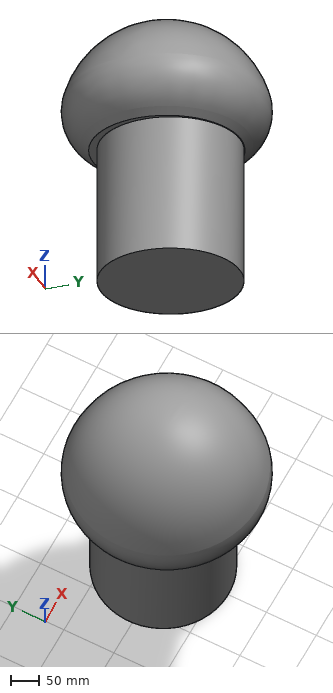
import cadquery as cq
import math

total_height = 498.0

stem_radius = 130.5
stem_height = 260.5
stem_offset_y = 7.0

cap_radius = 187.5
crown_radius = 191.5
rim_radius = 81.5
underside_angle = math.radians(54)

crown_centre_z = total_height - crown_radius
rim_centre_r = cap_radius - rim_radius
rim_centre_z = crown_centre_z + math.sqrt((crown_radius - rim_radius) ** 2 - rim_centre_r ** 2)

crown_edge_angle = math.atan2(rim_centre_z - crown_centre_z, rim_centre_r)


def crown_point(angle):
    """Point of the crown arc at an angle above horizontal."""
    return (crown_radius * math.cos(angle), crown_centre_z + crown_radius * math.sin(angle))


def rim_point(angle):
    """Point of the rim arc at an angle above horizontal."""
    return (rim_centre_r + rim_radius * math.cos(angle), rim_centre_z + rim_radius * math.sin(angle))


def make_stem():
    return cq.Workplane("XY").center(0, stem_offset_y).circle(stem_radius).extrude(stem_height)


def make_cap():
    crown_middle_angle = (crown_edge_angle + math.pi / 2) / 2
    rim_end_r, rim_end_z = rim_point(-underside_angle)
    base_radius = rim_end_r - (rim_end_z - stem_height) * math.tan(underside_angle)
    return (
        cq.Workplane("XZ")
        .moveTo(0, stem_height)
        .lineTo(base_radius, stem_height)
        .lineTo(rim_end_r, rim_end_z)
        .threePointArc(rim_point(0), rim_point(crown_edge_angle))
        .threePointArc(crown_point(crown_middle_angle), (0, total_height))
        .close()
        .revolve(360, (0, 0, 0), (0, 1, 0))
    )


stem = make_stem()
cap = make_cap()

result = cq.Compound.makeCompound([stem.val(), cap.val()])